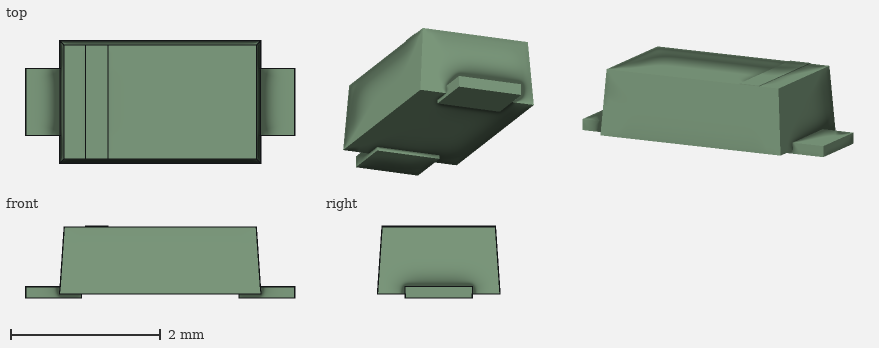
import cadquery as cq

overall_length = 3.6
overall_height = 0.96

housing_length = 2.693
housing_width = 1.64
taper_inset = 0.06
standoff = 0.05

lead_length = 0.75
lead_width = 0.9
lead_thickness = 0.15

band_width = 0.3
band_thickness = 0.01
band_center_x = -0.85

housing_top = overall_height - band_thickness
top_length = housing_length - 2 * taper_inset
top_width = housing_width - 2 * taper_inset
lead_center_x = (overall_length - lead_length) / 2


def make_lead(side):
    """Flat lead at the -X end (side = -1) or the +X end (side = 1)."""
    return (
        cq.Workplane("XY")
        .center(side * lead_center_x, 0)
        .rect(lead_length, lead_width)
        .extrude(lead_thickness)
    )


def make_housing(leads):
    """Tapered block with a recess for each lead."""
    housing = (
        cq.Workplane("XY")
        .workplane(offset=standoff)
        .rect(housing_length, housing_width)
        .workplane(offset=housing_top - standoff)
        .rect(top_length, top_width)
        .loft(ruled=True)
    )
    for lead in leads:
        housing = housing.cut(lead)
    return housing


def make_band():
    """Thin strip lying across the full width of the housing top."""
    return (
        cq.Workplane("XY")
        .workplane(offset=housing_top)
        .center(band_center_x, 0)
        .rect(band_width, top_width)
        .extrude(band_thickness)
    )


leads = [make_lead(side) for side in (-1, 1)]
housing = make_housing(leads)
band = make_band()

result = cq.Compound.makeCompound([housing.val(), band.val(), *[lead.val() for lead in leads]])